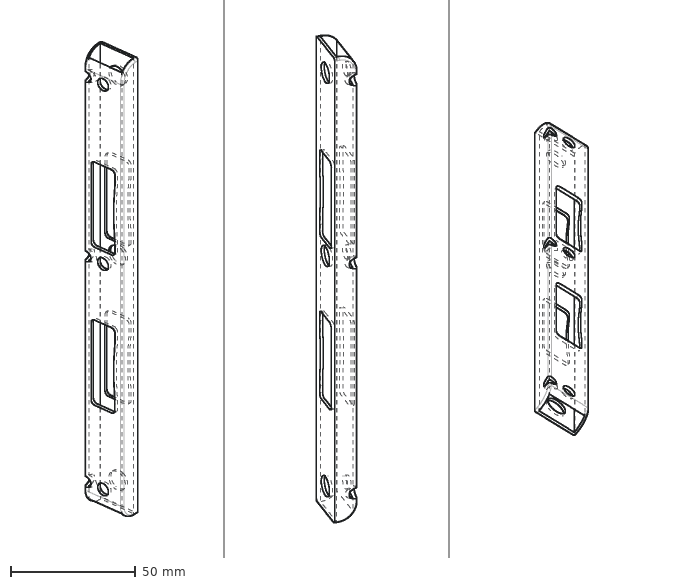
import cadquery as cq

LENGTH = 217.0
WIDTH = 20.0
DEPTH = 10.0
WALL = 1.3
FRONT_WALL = 1.5
EDGE_RADIUS = 1.0
END_RADIUS = 8.0

WINDOW_WIDTH = 12.5
WINDOW_HEIGHT = 40.5
WINDOW_CORNER = 2.0
WINDOW_BULGE = 0.75
WINDOW_BULGE_HEIGHT = 30.4
WINDOW_HEIGHTS = (37.5, -37.8)
HOLE_DIAMETER = 5.6
BACK_HOLE_DIAMETER = 8.7
HOLE_HEIGHTS = (96.5, 11.0, -96.3)
CORNER_HOLE_DIAMETER = 5.2
CORNER_HOLE_DEPTH = 5.6

FRONT = -DEPTH / 2
LEFT = -WIDTH / 2


def make_tube():
    """Open tube with ends curving in from the front and a rounded rim on each narrow side."""
    body = (
        cq.Workplane("XY")
        .box(WIDTH, DEPTH, LENGTH)
        .edges("|X and <Y")
        .fillet(END_RADIUS)
    )
    rounded_rim = body.faces("<X or >X").edges("not >Y")
    rounded_body = rounded_rim.fillet(EDGE_RADIUS)
    bore = (
        cq.Workplane("XY")
        .box(WIDTH - 2 * WALL, DEPTH - FRONT_WALL - WALL, LENGTH)
        .translate((0, (FRONT_WALL - WALL) / 2, 0))
    )
    return rounded_body.cut(bore)


def make_window(height):
    """Window through both broad walls, with its right side bowed inwards."""
    half_width = WINDOW_WIDTH / 2
    half_bulge = WINDOW_BULGE_HEIGHT / 2
    window = (
        cq.Workplane("XZ")
        .rect(WINDOW_WIDTH, WINDOW_HEIGHT)
        .extrude(DEPTH, both=True)
        .edges("|Y")
        .fillet(WINDOW_CORNER)
    )
    bulge = (
        cq.Workplane("XZ")
        .moveTo(half_width, -half_bulge)
        .threePointArc((half_width - WINDOW_BULGE, 0), (half_width, half_bulge))
        .close()
        .extrude(DEPTH, both=True)
    )
    return window.cut(bulge).translate((0, 0, height))


def make_hole(height):
    """Round screw hole in the front wall with a wider access hole behind it in the back wall."""
    screw_hole = cq.Workplane("XZ").circle(HOLE_DIAMETER / 2).extrude(DEPTH)
    access_hole = cq.Workplane("XZ").circle(BACK_HOLE_DIAMETER / 2).extrude(-DEPTH)
    return screw_hole.union(access_hole).translate((0, 0, height))


def make_corner_hole(height):
    """Hole drilled diagonally into the tube through its front left edge."""
    inward = cq.Vector(1, 1, 0)
    start = cq.Vector(LEFT, FRONT, height)
    drill = cq.Solid.makeCylinder(CORNER_HOLE_DIAMETER / 2, CORNER_HOLE_DEPTH, start, inward)
    return cq.Workplane(drill)


result = make_tube()
for window_height in WINDOW_HEIGHTS:
    result = result.cut(make_window(window_height))
for hole_height in HOLE_HEIGHTS:
    result = result.cut(make_hole(hole_height))
    result = result.cut(make_corner_hole(hole_height))